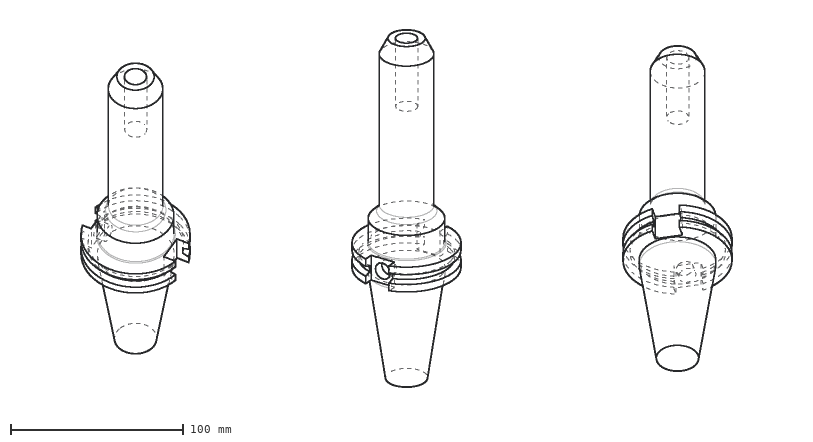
import cadquery as cq
import math

total_height = 220.6

gauge_height = 68.5
gauge_radius = 22.3
taper_ratio = 7 / 24
taper_end_radius = gauge_radius - gauge_height * taper_ratio / 2

flange_radius = 63.3 / 2
flange_bottom = 71.7
flange_top = 87.8
groove_root_radius = 27.8
groove_root_width = 3.8
groove_flank_height = 1.3
groove_middle = (flange_bottom + flange_top) / 2

body_radius = 22.3
body_top = 103.7
body_root_fillet = 0.7
nose_radius = 15.9
neck_fillet = 5.5
tip_radius = 10.8
tip_cone_height = 10.1
bore_radius = 6.5
bore_depth = 44.1

slot_width = 16.0
slot_floor_minus_x = 25.0
slot_floor_plus_x = 23.0
dimple_radius = 5.0
dimple_depth = 6.6


def revolved_profile():
    """Solid of revolution without holes or slots."""
    groove_half_root = groove_root_width / 2
    groove_half_mouth = groove_half_root + groove_flank_height

    neck_center_radius = nose_radius + neck_fillet
    neck_start_radius = neck_center_radius - neck_fillet * math.cos(math.pi / 4)
    neck_start = body_top + body_radius - neck_start_radius
    neck_end = neck_start + neck_fillet * math.sin(math.pi / 4)
    neck_mid_radius = neck_center_radius - neck_fillet * math.cos(math.pi / 8)
    neck_mid = neck_end - neck_fillet * math.sin(math.pi / 8)

    profile = (
        cq.Workplane("XZ")
        .lineTo(taper_end_radius, 0)
        .lineTo(gauge_radius, gauge_height)
        .lineTo(gauge_radius, flange_bottom)
        .lineTo(flange_radius, flange_bottom)
        .lineTo(flange_radius, groove_middle - groove_half_mouth)
        .lineTo(groove_root_radius, groove_middle - groove_half_root)
        .lineTo(groove_root_radius, groove_middle + groove_half_root)
        .lineTo(flange_radius, groove_middle + groove_half_mouth)
        .lineTo(flange_radius, flange_top)
        .lineTo(body_radius + body_root_fillet, flange_top)
        .radiusArc((body_radius, flange_top + body_root_fillet), body_root_fillet)
        .lineTo(body_radius, body_top)
        .lineTo(neck_start_radius, neck_start)
        .threePointArc((neck_mid_radius, neck_mid), (nose_radius, neck_end))
        .lineTo(nose_radius, total_height - tip_cone_height)
        .lineTo(tip_radius, total_height)
        .lineTo(0, total_height)
        .close()
    )
    return profile.revolve(360, (0, 0, 0), (0, 1, 0))


def drive_slot(side, floor):
    """Cutter for one drive slot; side is -1 for -X and +1 for +X."""
    length = flange_radius
    return cq.Workplane("XY").box(length, slot_width, flange_top - flange_bottom).translate(
        (side * (floor + length / 2), 0, groove_middle)
    )


def tip_bore():
    """Cutter for the blind bore in the nose tip."""
    return (
        cq.Workplane("XY", origin=(0, 0, total_height - bore_depth))
        .circle(bore_radius)
        .extrude(bore_depth)
    )


def slot_dimple():
    """Cutter for the blind round hole in the floor of the -X slot."""
    return (
        cq.Workplane("YZ", origin=(-slot_floor_minus_x, 0, groove_middle))
        .circle(dimple_radius)
        .extrude(dimple_depth)
    )


result = (
    revolved_profile()
    .cut(drive_slot(-1, slot_floor_minus_x))
    .cut(drive_slot(1, slot_floor_plus_x))
    .cut(tip_bore())
    .cut(slot_dimple())
)